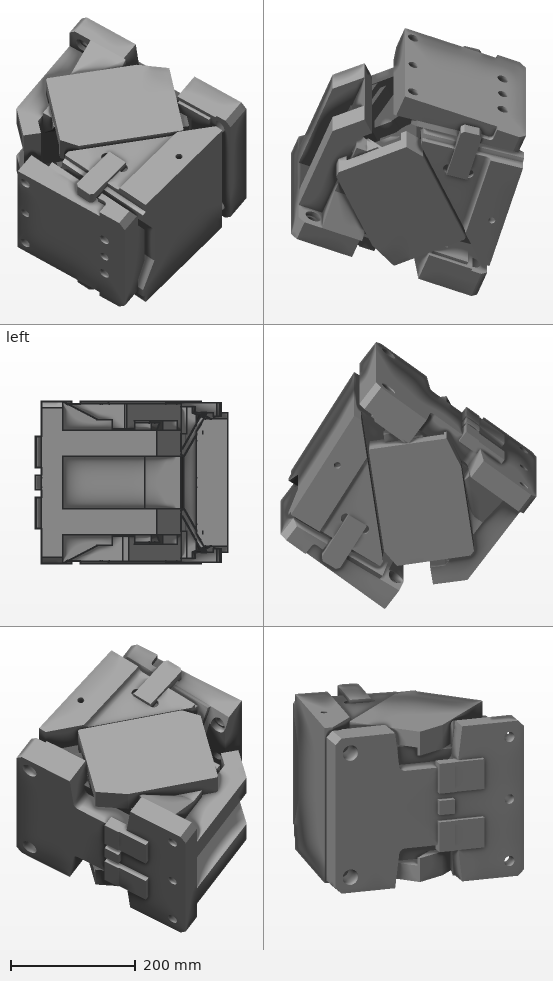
import cadquery as cq
import math


ROOT2 = math.sqrt(2)
TILT = math.radians(5)
V_ANGLE = math.radians(30)
V_SLOPE = math.tan(V_ANGLE)
WEAR_THICKNESS = 9
V_FLAT = 42
REACH = 400


def diag(u, v):
    """Point u along the 45 degree travel line and v across it (towards the driver)."""
    return ((u + v) / ROOT2, (u - v) / ROOT2)


def tilt(p, q):
    """Point p along the driver guide and q square to it (away from the driver)."""
    return (p * math.cos(TILT) + q * math.sin(TILT), q * math.cos(TILT) - p * math.sin(TILT))


def diag_prism(section, u_start, u_end):
    """Prism of (v, z) points along the 45 degree travel line."""
    plane = cq.Plane(origin=(*diag(u_start, 0), 0), xDir=(1, -1, 0), normal=(1, 1, 0))
    return cq.Workplane(plane).polyline(section).close().extrude(u_end - u_start)


def tilt_prism(section, p_start, p_end):
    """Prism of (q, z) points along the driver guide."""
    plane = cq.Plane(origin=(*tilt(p_start, 0), 0), xDir=(*tilt(0, 1), 0), normal=(*tilt(1, 0), 0))
    return cq.Workplane(plane).polyline(section).close().extrude(p_end - p_start)


def slab(outline, z_low, z_high):
    return cq.Workplane("XY").workplane(offset=z_low).polyline(outline).close().extrude(z_high - z_low)


def plate(outline, half_height):
    return slab(outline, -half_height, half_height)


def block(x0, x1, y0, y1, half_height):
    return plate([(x0, y0), (x1, y0), (x1, y1), (x0, y1)], half_height)


def both_sides(body):
    return body.union(body.mirror("XY"))


def mirrored(points):
    """Close a half section (z > 0) with its reflection in Z = 0."""
    return points + [(a, -z) for a, z in reversed(points)]


def y_hole(x, z, diameter, y_start, y_end):
    plane = cq.Plane(origin=(x, y_start, z), xDir=(1, 0, 0), normal=(0, 1, 0))
    return cq.Workplane(plane).circle(diameter / 2).extrude(y_end - y_start)


LENGTH = 320
HALF_HEIGHT = 130
BACK_Y = 299

RAIL_V = -11.5
RAIL_Z = 99
RAIL_TIP_V = RAIL_V - (RAIL_Z - V_FLAT) * V_SLOPE

DRIVER_Q = 45.6
DRIVER_Z = 102
DRIVER_TIP_Q = DRIVER_Q + (DRIVER_Z - V_FLAT) * V_SLOPE

KEEPER_V = (-99.6, 43)
KEEPER_U = (131.8, 330.3)
KEEPER_TOP = 126
LEFT_LIP_V = -79
LEFT_LIP_Z = 86
RIGHT_LIP_V = 16.6
RIGHT_LIP_Z = 78
KEEPER_FAR_CUT = (280.4, -83.5)
KEEPER_NEAR_CUT = (158.9, 26)
KEEPER_CUT = 2.5
LOWER_KEEPER_CUT = 6.5
GAP = 2


ARM_Z = 84
ARM_BEND_Y = 114
ARM_TIP = ((40, 75), (60.5, 95))
ARM_INNER_X = 43
ARM_INNER_Y = (112, 187)
ARM_ROOT_X = 39
WALL_X = 38
WALL_RECESS_X = 40.5
WALL_RECESS_Y = 133
PLATE_Y = 264.7
RIGHT_BLOCK_Y = 250.6
RIGHT_END_Y = 254
RIGHT_END_X = 293
RIGHT_STEP_Y = 245.5
RIGHT_STEP_START_X = 223
RIGHT_STEP_X = 284
RIGHT_STEP_Z = 122
PLATE_CHAMFER = 10
CHANNEL_X = (105, 219)
CHANNEL_DRAFT = 8
CHANNEL_FLOOR_Z = 65
KEEPER_CLEAR_U = 331
CHANNEL_RADIUS = 10
GUIDE_X = 45
GUIDE_Y = 123
GUIDE_STEP_Y = 140
GUIDE_END_U = 131
BASE_WEAR_START_U = 141
FLANGE_Z = 95.5
FLANGE_GAP = 1
GUIDE_FAR_U = 330
V_CUT_U = (115, 350)
SHOULDER_X = 40.5
SHOULDER_END_X = 109
SLOPE_Y = 209
SHOULDER_END_Y = 185
SHOULDER_ROUND = 11
SLOPE_FOOT_Z = 101
MOUNT_X = 25
MOUNT_Z = 104
MOUNT_HOLE = 17
MOUNT_BORE = 26
MOUNT_BORE_DEPTH = 8
MIDDLE_HOLE = 16
KEY_X = (70, 121, 147)
KEY_LOW_Y = 307.5
KEY_TOP_Y = 309
KEY_SEAT_Y = 289
KEY_Z = (24, 74)
MIDDLE_KEY_Z = 12


def base_plate():
    wall_x = CHANNEL_X[1] - CHANNEL_DRAFT
    outline = [
        (0, PLATE_Y), (wall_x, PLATE_Y), (wall_x, KEEPER_CLEAR_U * ROOT2 - wall_x),
        (KEEPER_CLEAR_U * ROOT2 - RIGHT_BLOCK_Y, RIGHT_BLOCK_Y),
        (RIGHT_END_X, RIGHT_BLOCK_Y), (RIGHT_END_X, RIGHT_END_Y), (LENGTH, RIGHT_END_Y),
        (LENGTH, BACK_Y), (0, BACK_Y),
    ]
    body = plate(outline, HALF_HEIGHT)
    body = body.edges("|Y").edges("<X or >X").chamfer(PLATE_CHAMFER)
    body = body.union(block(RIGHT_STEP_START_X, RIGHT_STEP_X, RIGHT_STEP_Y, BACK_Y, RIGHT_STEP_Z))
    channel = (
        cq.Workplane("XZ", origin=(0, BACK_Y, 0))
        .polyline([
            (CHANNEL_X[0], HALF_HEIGHT), (CHANNEL_X[0] + CHANNEL_DRAFT, CHANNEL_FLOOR_Z),
            (CHANNEL_X[1] - CHANNEL_DRAFT, CHANNEL_FLOOR_Z), (CHANNEL_X[1], HALF_HEIGHT),
        ])
        .close()
        .extrude(BACK_Y - RIGHT_STEP_Y)
        .edges("|Y and <Z")
        .fillet(CHANNEL_RADIUS)
    )
    return body.cut(both_sides(channel))


def base_arms():
    """Two bars joined by a wall and a hooked tip, with a window between them."""
    outline = [
        (0, PLATE_Y), (0, ARM_BEND_Y), *ARM_TIP, (ARM_INNER_X, ARM_INNER_Y[0]),
        (ARM_INNER_X, ARM_INNER_Y[1]), (ARM_ROOT_X, PLATE_Y),
    ]
    window = block(0, WALL_X, 0, PLATE_Y, V_FLAT)
    recess = block(0, WALL_RECESS_X, 0, WALL_RECESS_Y, V_FLAT)
    return plate(outline, ARM_Z).cut(window).cut(recess)


def base_guide():
    """Guide block with a flange on both sides, hooked by the keeper lips."""
    far_corner = diag(GUIDE_FAR_U, 0)
    outline = [
        (WALL_X, PLATE_Y), (WALL_X, GUIDE_STEP_Y), (GUIDE_X, GUIDE_STEP_Y), (GUIDE_X, GUIDE_Y),
        (GUIDE_END_U * ROOT2 - GUIDE_Y, GUIDE_Y), diag(GUIDE_END_U, 0),
        far_corner, (far_corner[0], PLATE_Y),
    ]
    body = plate(outline, ARM_Z)
    flange_section = mirrored([(0, FLANGE_Z), (LEFT_LIP_V + FLANGE_GAP, FLANGE_Z)])
    flange = diag_prism(flange_section, 0, GUIDE_FAR_U)
    flange = flange.intersect(plate(outline, HALF_HEIGHT))
    return body.union(flange.intersect(block(GUIDE_X, REACH, 0, PLATE_Y, HALF_HEIGHT)))


def base_wear_strip():
    """Strip lining the upper flank of the V groove."""
    lining_v = WEAR_THICKNESS / math.cos(V_ANGLE)
    section = [
        (RAIL_V, RAIL_Z), (RAIL_TIP_V, V_FLAT), (RAIL_TIP_V - lining_v, V_FLAT),
        (RAIL_V - lining_v, RAIL_Z),
    ]
    strip = diag_prism([(v, -z) for v, z in section], BASE_WEAR_START_U, GUIDE_FAR_U)
    return strip.intersect(block(0, REACH, 0, PLATE_Y, FLANGE_Z))


def base_shoulder():
    """Sloping shoulder from the back plate down to the guide, clear of the keepers."""
    side = [
        (PLATE_Y, HALF_HEIGHT), (SLOPE_Y, SLOPE_FOOT_Z), (SHOULDER_END_Y, SLOPE_FOOT_Z),
    ]
    body = (
        cq.Workplane("YZ", origin=(SHOULDER_X, 0, 0))
        .polyline(mirrored(side))
        .close()
        .extrude(SHOULDER_END_X - SHOULDER_X)
    )
    v_limit = KEEPER_V[0] - GAP
    outline = [
        diag(0, v_limit), diag(REACH, v_limit), diag(REACH, -REACH), diag(0, -REACH),
    ]
    body = body.intersect(plate(outline, HALF_HEIGHT))
    middle_y = (PLATE_Y + SLOPE_Y) / 2
    middle_z = (HALF_HEIGHT + SLOPE_FOOT_Z) / 2
    for z in (-middle_z, middle_z):
        edge_point = (middle_y + v_limit * ROOT2, middle_y, z)
        body = body.edges(cq.selectors.NearestToPointSelector(edge_point)).fillet(SHOULDER_ROUND)
    return body


def base_keys():
    key_height = KEY_Z[1] - KEY_Z[0]
    low = cq.Workplane("XY").box(
        KEY_X[1] - KEY_X[0], KEY_LOW_Y - KEY_SEAT_Y, key_height, centered=False
    ).translate((KEY_X[0], KEY_SEAT_Y, KEY_Z[0]))
    high = cq.Workplane("XY").box(
        KEY_X[2] - KEY_X[1], KEY_TOP_Y - KEY_SEAT_Y, key_height, centered=False
    ).translate((KEY_X[1], KEY_SEAT_Y, KEY_Z[0]))
    middle = block(KEY_X[1], KEY_X[2], KEY_SEAT_Y, KEY_TOP_Y, MIDDLE_KEY_Z)
    return low, high, middle


def make_base():
    body = base_plate().union(base_arms()).union(base_guide()).union(base_shoulder())
    lining_v = WEAR_THICKNESS / math.cos(V_ANGLE)
    v_groove = mirrored([
        (REACH, RAIL_Z), (RAIL_V - lining_v, RAIL_Z), (RAIL_TIP_V - lining_v, V_FLAT),
    ])
    body = body.cut(diag_prism(v_groove, *V_CUT_U)).union(both_sides(base_wear_strip()))
    low, high, middle = base_keys()
    body = body.union(both_sides(low)).union(both_sides(high)).union(middle)
    for z in (-MOUNT_Z, MOUNT_Z):
        body = body.cut(y_hole(MOUNT_X, z, MOUNT_HOLE, PLATE_Y, BACK_Y))
        body = body.cut(y_hole(MOUNT_X, z, MOUNT_BORE, PLATE_Y, PLATE_Y + MOUNT_BORE_DEPTH))
        body = body.cut(y_hole(LENGTH - MOUNT_X, z, MOUNT_BORE, RIGHT_END_Y, BACK_Y))
    return body.cut(y_hole(MOUNT_X, 0, MIDDLE_HOLE, PLATE_Y, BACK_Y))


DRIVER_X = (80.3, 288.5)
RIDGE_X = 110
LOW_END_Y = 50.6
HEAD_Z = 112
HEAD_X = 221
HEAD_V_RISE = 13.2
POCKET_X = 239
POCKET_Y = 22.5
POCKET_RADIUS = 6
HEAD_CHAMFER = 11
DRIVER_HOLES_X = (94.7, 248.5)
LEFT_HOLES_Z = 80
RIGHT_HOLES_Z = 45
DRIVER_HOLE = 18
DRIVER_DOWEL = 16
DRIVER_BORE = 26
DRIVER_BORE_Y = 40


def v_ridge(q_shift):
    """Half section of the driver V guide, raised by q_shift."""
    edge_q = DRIVER_Q - (HALF_HEIGHT - DRIVER_Z) * V_SLOPE
    return [(-REACH, HALF_HEIGHT), (edge_q + q_shift, HALF_HEIGHT), (DRIVER_TIP_Q + q_shift, V_FLAT)]


def tilt_block(q_low, q_high):
    section = mirrored([(q_low, HALF_HEIGHT), (q_high, HALF_HEIGHT)])
    return tilt_prism(section, -REACH, 2 * REACH)


def make_driver():
    left, right = DRIVER_X
    outline = [
        (left, 0), (right, 0), (right, REACH), (RIDGE_X, REACH), (RIDGE_X, LOW_END_Y), (left, LOW_END_Y),
    ]
    head = block(HEAD_X, right, 0, REACH, HEAD_Z).edges("|Y and >X").chamfer(HEAD_CHAMFER)
    pocket = (
        block(HEAD_X, POCKET_X, 0, POCKET_Y, HALF_HEIGHT)
        .edges("|Z and >X and >Y")
        .fillet(POCKET_RADIUS)
        .cut(block(HEAD_X, POCKET_X, 0, POCKET_Y, DRIVER_Z))
    )
    trim = block(left, HEAD_X, 0, REACH, DRIVER_Z).union(head).cut(pocket)
    body = plate(outline, HALF_HEIGHT).intersect(trim)
    ridge = tilt_prism(mirrored(v_ridge(0)), -REACH, REACH)
    raised = tilt_prism(mirrored(v_ridge(HEAD_V_RISE)), -REACH, REACH)
    raised = raised.intersect(tilt_block(-REACH, SLIDE_Q[0])).intersect(head)
    body = body.intersect(ridge.union(raised))
    for x, z_offset in zip(DRIVER_HOLES_X, (LEFT_HOLES_Z, RIGHT_HOLES_Z)):
        body = body.cut(y_hole(x, 0, DRIVER_DOWEL, 0, REACH))
        for z in (-z_offset, z_offset):
            body = body.cut(y_hole(x, z, DRIVER_HOLE, 0, REACH))
    for z in (-LEFT_HOLES_Z, LEFT_HOLES_Z):
        body = body.cut(y_hole(DRIVER_HOLES_X[0], z, DRIVER_BORE, DRIVER_BORE_Y, REACH))
    return body


SLIDE_P = (127, 294.9)
SLIDE_Q = (62, 262)
LEG_Q = 68.7
LEG_Z = (109, 112)
SHOULDER_V = 47.4
NOSE_P = 241
PLATEAU_Z = 121.6
PAD_P = 241
CORE_U = (164, 344)
CORE_V = 11
SEAT_START_U = 150
SEAT_START_V = 30
LEG_TOP_Q = 80
CORNER_V = 15.4
BORE_V = 7
BORE_RADIUS = 31
BORE_DEPTH = 22
BORE_SLOT_Z = 22
TAP_X = 289
TAP_Y = 153
TAP_DIAMETER = 11
TAP_DEPTH = 25
WEAR_P = (113, 205)
HOOK_P = (181, 215.5)
HOOK_Q = (29, 115.5)
HOOK_Z = (112, 128)
HOOK_LIP_Q = 39.5
HOOK_LIP_Z = 106
HOOK_CHAMFER = 5
EAR_Q = 107.5
EAR_RADIUS = 8
EAR_DEPTH = 8


def slide_wedge():
    (p0, p1), (q0, q1) = SLIDE_P, SLIDE_Q
    low = [
        tilt(p0, q0), tilt(p1, q0), tilt(p1, q1), tilt(NOSE_P, q1), diag(CORE_U[1], CORNER_V),
        diag(CORE_U[1], CORE_V), diag(CORE_U[0], CORE_V), diag(CORE_U[0], SEAT_START_V),
        diag(SEAT_START_U, KEEPER_V[1]), tilt(p0, LEG_TOP_Q),
    ]
    body = plate(low, RIGHT_LIP_Z)
    seat_edge = plate([
        diag(-REACH, SHOULDER_V), diag(-REACH, REACH), diag(2 * REACH, REACH), diag(2 * REACH, SHOULDER_V),
    ], HALF_HEIGHT)
    radius = HALF_HEIGHT - PLATEAU_Z
    plateau = plate([tilt(p0, q0), tilt(p1, q0), tilt(p1, q1), tilt(p0, q1)], PLATEAU_Z)
    pad = plate([tilt(PAD_P - radius, q0), tilt(p1, q0), tilt(p1, q1), tilt(PAD_P - radius, q1)], HALF_HEIGHT)
    plane = cq.Plane(origin=(*tilt(0, q0), 0), xDir=(*tilt(1, 0), 0), normal=(*tilt(0, -1), 0))
    cove = (
        cq.Workplane(plane)
        .center(PAD_P - radius, HALF_HEIGHT)
        .circle(radius)
        .extrude(q0 - q1)
    )
    body = body.union(plateau.union(pad.cut(both_sides(cove))).intersect(seat_edge))
    foot = [
        (q0, LEG_Z[0]), (LEG_Q, LEG_Z[1]), (LEG_Q, HALF_HEIGHT), (REACH, HALF_HEIGHT),
    ]
    return body.intersect(tilt_prism(mirrored(foot), -REACH, 2 * REACH))


def slide_core():
    """V guide running in the base, with a spring bore in its lower end."""
    section = [(RAIL_TIP_V, V_FLAT), (RAIL_V, RAIL_Z), (RIGHT_LIP_V, RAIL_Z)]
    core = diag_prism(mirrored(section), *CORE_U)
    plane = cq.Plane(origin=(*diag(CORE_U[0], BORE_V), 0), xDir=(1, -1, 0), normal=(1, 1, 0))
    bore = cq.Workplane(plane).circle(BORE_RADIUS).extrude(BORE_DEPTH)
    slot_section = mirrored([(RAIL_TIP_V, BORE_SLOT_Z), (BORE_V, BORE_SLOT_Z)])
    slot = diag_prism(slot_section, CORE_U[0], CORE_U[0] + BORE_DEPTH)
    return core, bore.union(slot)


def keeper(corner_cut):
    """Upper keeper plate with a hooked lip along both long edges."""
    (v0, v1), (u0, u1) = KEEPER_V, KEEPER_U
    outline = [
        diag(u0, v0 + corner_cut), diag(u0 + corner_cut, v0), diag(KEEPER_FAR_CUT[0], v0),
        diag(u1, KEEPER_FAR_CUT[1]), diag(u1, v1 - KEEPER_CUT), diag(u1 - KEEPER_CUT, v1),
        diag(KEEPER_NEAR_CUT[0], v1), diag(u0, KEEPER_NEAR_CUT[1]),
    ]
    section = [
        (v0, KEEPER_TOP), (v0, LEFT_LIP_Z), (LEFT_LIP_V, LEFT_LIP_Z), (LEFT_LIP_V, RAIL_Z),
        (RIGHT_LIP_V, RAIL_Z), (RIGHT_LIP_V, RIGHT_LIP_Z), (v1, RIGHT_LIP_Z), (v1, KEEPER_TOP),
    ]
    section = [(v, -z) for v, z in section]
    return diag_prism(section, *KEEPER_U).intersect(plate(outline, KEEPER_TOP))


def wear_strip():
    """Strip lining the slide where it runs on the upper flank of the driver V."""
    step_q = WEAR_THICKNESS * math.cos(V_ANGLE)
    step_z = WEAR_THICKNESS * math.sin(V_ANGLE)
    section = [
        (DRIVER_Q, DRIVER_Z), (DRIVER_Q + step_q, DRIVER_Z + step_z),
        (DRIVER_TIP_Q + step_q, V_FLAT + step_z), (DRIVER_TIP_Q, V_FLAT),
    ]
    return tilt_prism(section, *WEAR_P)


def hook():
    (p0, p1), (q0, q1) = HOOK_P, HOOK_Q
    outline = [
        tilt(p0, q1), tilt(p0, q0 + HOOK_CHAMFER), tilt(p0 + HOOK_CHAMFER, q0),
        tilt(p1 - HOOK_CHAMFER, q0), tilt(p1, q0 + HOOK_CHAMFER), tilt(p1, q1),
    ]
    lip = slab(outline, HOOK_LIP_Z, HOOK_Z[0]).intersect(tilt_block(q0, HOOK_LIP_Q))
    return slab(outline, *HOOK_Z).union(lip)


def hook_ears():
    ears = [tilt(p, EAR_Q) for p in HOOK_P]
    return (
        cq.Workplane("XY")
        .workplane(offset=PLATEAU_Z - EAR_DEPTH)
        .pushPoints(ears)
        .circle(EAR_RADIUS)
        .extrude(EAR_DEPTH)
    )


def make_slide():
    core, bore = slide_core()
    body = slide_wedge().union(core).cut(bore)
    lining_q = WEAR_THICKNESS / math.cos(V_ANGLE)
    body = body.cut(tilt_prism(mirrored(v_ridge(lining_q)), -REACH, REACH))
    body = body.cut(both_sides(hook_ears()))
    body = body.union(keeper(KEEPER_CUT)).union(keeper(LOWER_KEEPER_CUT).mirror("XY"))
    for fitting in (wear_strip(), hook()):
        body = body.union(both_sides(fitting))
    tap = (
        cq.Workplane("XY", origin=(TAP_X, TAP_Y, HALF_HEIGHT - TAP_DEPTH))
        .circle(TAP_DIAMETER / 2)
        .extrude(TAP_DEPTH)
    )
    return body.cut(both_sides(tap))


base = make_base()
driver = make_driver()
slide = make_slide()
result = cq.Compound.makeCompound([base.solids().val(), driver.solids().val(), slide.solids().val()])